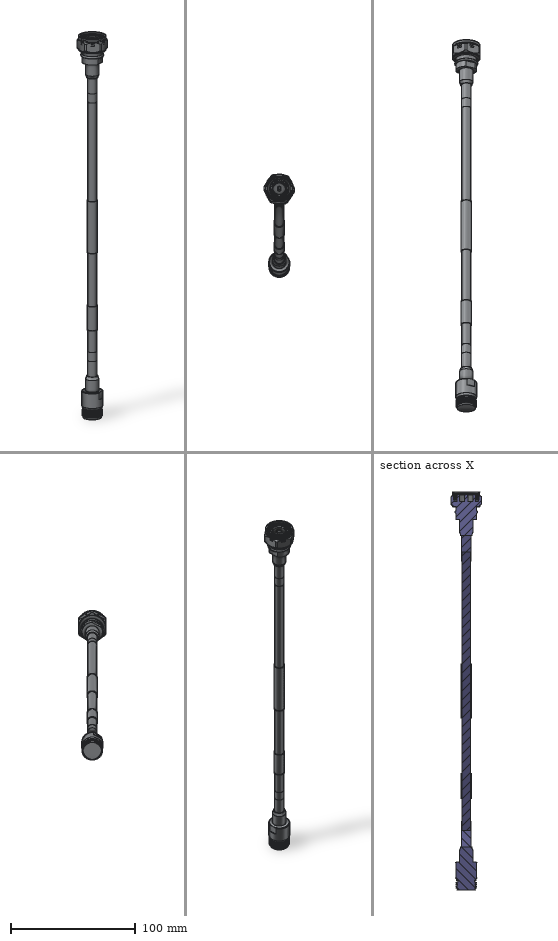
import cadquery as cq
import math


LENGTH = 320.2
BOOT_R = 4.0
BOOT_WALL = 0.2
CABLE_R = BOOT_R - BOOT_WALL
BOOT_LENGTH = 20.5
CABLE_INSERTION = 7.7
LOWER_BOOT_Z = 35.0
UPPER_BOOT_Z = 285.0
SLEEVE_R = 8.5 / 2
SLEEVES = [(73.5, 20.2), (138.3, 43.5)]

BARREL_R = 5.5
SHOULDER_R = 4.5
SHOULDER_LENGTH = 2.5

NUT_FLATS = 22.0
NUT_CORNERS = 24.5
NUT_RIM_R = NUT_FLATS / 2
NUT_BOTTOM_Z = 308.0
HEX_BOTTOM_Z = 309.0
HEX_TOP_Z = 317.5
HEX_CHAMFER = 1.3
RIM_BEVEL = 0.3
MOUTH_R = 9.5
MOUTH_DEPTH = 7.7
MOUTH_GROOVE = 0.5
MOUTH_GROOVES = 5
THREAD_PITCH = 1.05

CONTACT_OUTER_R = 7.7
CONTACT_BORE_R = 5.0
CONTACT_BEVEL = 0.8
CONTACT_RECESS = 2.0
PIN_R = 1.5
PIN_TIP_R = 0.8
PIN_TIP_LENGTH = 1.0

SOCKET_R = 8.3
SOCKET_BOTTOM_Z = 297.8
SOCKET_FLATS = 14.5
SOCKET_FLATS_HEIGHT = 4.8
BEAD_R = 1.0
BEAD_Z = 304.0

JACK_R = 17.0 / 2
JACK_TOP_Z = 22.7
JACK_BOTTOM_Z = 8.0
JACK_BEVEL = 0.5
JACK_BOTTOM_BEVEL_LENGTH = 2.0
JACK_FLAT_WIDTH = 6.7
JACK_FLAT_BOTTOM_Z = 16.5
JACK_NECK_R = 6.7
THREAD_TOP_Z = 6.7
THREAD_ROOT_R = 7.5
THREAD_CREST_R = 8.3
JACK_THREADS = 5


def turned(profile):
    """Solid of revolution about Z from (radius, z) corners; the axis closes the outline."""
    points = [(0, profile[0][1])] + [(-r, z) for r, z in profile] + [(0, profile[-1][1])]
    return cq.Workplane("XZ").polyline(points).close().revolve(360, (0, 0), (0, 1))


def cylinder(radius, bottom, height):
    return turned([(radius, bottom), (radius, bottom + height)])


def side_flats(gap, bottom, height):
    """Two blocks that cut flats on the -X and +X sides, leaving `gap` between them."""
    block = 2 * JACK_R
    offset = (gap + block) / 2
    return (
        cq.Workplane("XY", origin=(0, 0, bottom))
        .pushPoints([(-offset, 0), (offset, 0)])
        .rect(block, block)
        .extrude(height)
    )


def ridges(root_r, crest_r, bottom, count):
    """Profile corners of V-shaped thread ridges, from the bottom up."""
    points = [(root_r, bottom)]
    for i in range(count):
        points.append((crest_r, bottom + (i + 0.5) * THREAD_PITCH))
        points.append((root_r, bottom + (i + 1) * THREAD_PITCH))
    return points


def make_nut():
    hexagon = (
        cq.Workplane("XY", origin=(0, 0, HEX_BOTTOM_Z))
        .polygon(6, NUT_FLATS / math.cos(math.pi / 6))
        .extrude(HEX_TOP_Z - HEX_BOTTOM_Z)
        .rotate((0, 0, 0), (0, 0, 1), 30)
    )
    envelope = turned([
        (NUT_RIM_R, HEX_BOTTOM_Z),
        (NUT_CORNERS / 2, HEX_BOTTOM_Z + HEX_CHAMFER),
        (NUT_CORNERS / 2, HEX_TOP_Z - HEX_CHAMFER),
        (NUT_RIM_R, HEX_TOP_Z),
    ])
    rim = turned([
        (NUT_RIM_R - RIM_BEVEL, NUT_BOTTOM_Z),
        (NUT_RIM_R, NUT_BOTTOM_Z + RIM_BEVEL),
        (NUT_RIM_R, LENGTH - RIM_BEVEL),
        (NUT_RIM_R - RIM_BEVEL, LENGTH),
    ])
    return hexagon.intersect(envelope).union(rim)


def make_mouth():
    """Cavity of the nut, with thread grooves around it."""
    floor = LENGTH - MOUTH_DEPTH
    grooves = ridges(MOUTH_R, MOUTH_R + MOUTH_GROOVE, floor + THREAD_PITCH, MOUTH_GROOVES)
    return turned([(MOUTH_R, floor)] + grooves + [(MOUTH_R, LENGTH)])


def make_contacts():
    """Bevelled ring contact and pointed centre pin standing on the cavity floor."""
    floor = LENGTH - MOUTH_DEPTH
    top = LENGTH - CONTACT_RECESS
    ring = turned([
        (CONTACT_OUTER_R, floor),
        (CONTACT_OUTER_R, top - CONTACT_BEVEL),
        (CONTACT_OUTER_R - CONTACT_BEVEL, top),
    ])
    bore = turned([
        (CONTACT_BORE_R, floor),
        (CONTACT_BORE_R, top - CONTACT_BEVEL),
        (CONTACT_BORE_R + CONTACT_BEVEL, top),
    ])
    pin = turned([(PIN_R, floor), (PIN_R, top - PIN_TIP_LENGTH), (PIN_TIP_R, top)])
    return ring.cut(bore).union(pin)


def make_bead():
    """Half-round bead: a torus whose inner half lies inside the socket."""
    return (
        cq.Workplane("XZ")
        .center(-SOCKET_R, BEAD_Z)
        .circle(BEAD_R)
        .revolve(360, (SOCKET_R, 0), (SOCKET_R, 1))
    )


def make_upper_connector():
    shaft = turned([
        (SHOULDER_R, UPPER_BOOT_Z),
        (BARREL_R, UPPER_BOOT_Z + SHOULDER_LENGTH),
        (BARREL_R, SOCKET_BOTTOM_Z),
        (SOCKET_R, SOCKET_BOTTOM_Z),
        (SOCKET_R, NUT_BOTTOM_Z),
    ])
    flats = side_flats(SOCKET_FLATS, SOCKET_BOTTOM_Z, SOCKET_FLATS_HEIGHT)
    outside = shaft.cut(flats).union(make_bead()).union(make_nut())
    return outside.cut(make_mouth()).union(make_contacts())


def make_lower_connector():
    thread_bottom = THREAD_TOP_Z - JACK_THREADS * THREAD_PITCH
    threads = ridges(THREAD_ROOT_R, THREAD_CREST_R, thread_bottom, JACK_THREADS)
    body = turned([
        (THREAD_ROOT_R, 0),
        *threads,
        (JACK_NECK_R, THREAD_TOP_Z),
        (JACK_NECK_R, JACK_BOTTOM_Z),
        (JACK_R - JACK_BEVEL, JACK_BOTTOM_Z),
        (JACK_R, JACK_BOTTOM_Z + JACK_BOTTOM_BEVEL_LENGTH),
        (JACK_R, JACK_TOP_Z - JACK_BEVEL),
        (JACK_R - JACK_BEVEL, JACK_TOP_Z),
        (BARREL_R, JACK_TOP_Z),
        (BARREL_R, LOWER_BOOT_Z - SHOULDER_LENGTH),
        (SHOULDER_R, LOWER_BOOT_Z),
    ])
    flats_gap = 2 * math.sqrt(JACK_R**2 - (JACK_FLAT_WIDTH / 2) ** 2)
    return body.cut(side_flats(flats_gap, JACK_FLAT_BOTTOM_Z, JACK_TOP_Z - JACK_FLAT_BOTTOM_Z))


def make_sleeve(bottom, length):
    """Marker sleeve that fits closely around the cable."""
    return cylinder(SLEEVE_R, bottom, length).cut(cylinder(CABLE_R, bottom, length))


def make_cable():
    bottom = LOWER_BOOT_Z + BOOT_LENGTH - CABLE_INSERTION
    top = UPPER_BOOT_Z - BOOT_LENGTH + CABLE_INSERTION
    return cylinder(CABLE_R, bottom, top - bottom)


def make_boot(bottom, cable):
    """Boot with a blind socket for the end of the cable."""
    return cylinder(BOOT_R, bottom, BOOT_LENGTH).cut(cable)


cable = make_cable()
boots = [make_boot(bottom, cable) for bottom in (LOWER_BOOT_Z, UPPER_BOOT_Z - BOOT_LENGTH)]
sleeves = [make_sleeve(bottom, length) for bottom, length in SLEEVES]
upper_connector = make_upper_connector()
lower_connector = make_lower_connector()

bodies = [upper_connector, lower_connector, cable, *boots, *sleeves]
result = cq.Compound.makeCompound([body.solids().val() for body in bodies])